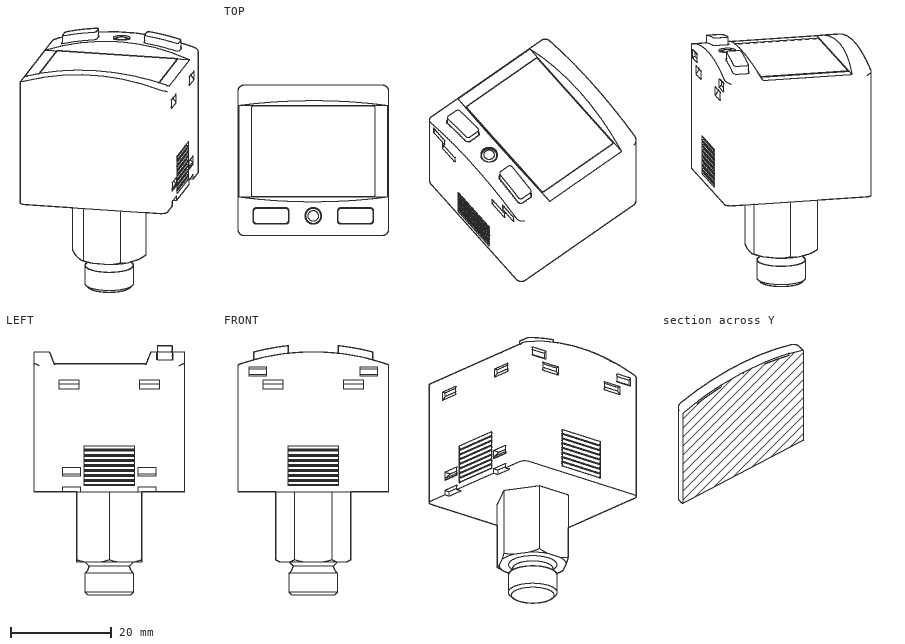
import cadquery as cq
import math

width = 30.0
half = width / 2
total_height = 49.62
over = 1.0

thread_d = 9.73
thread_end_chamfer = 0.6
thread_top_z = 4.36
relief_shoulder_r = 4.75
relief_bend_r = 4.3
relief_bend_z = 4.98
neck_r = 4.0
neck_z = 5.75
hex_bottom_z = 6.55
hex_flats = 13.0
hex_corners = hex_flats / math.cos(math.pi / 6)
hex_undercut_r = neck_r + (hex_bottom_z - neck_z)
hex_chamfer_start_r = 6.7
hex_chamfer_angle = 30.0

housing_bottom_z = 20.5
corner_r = 1.3
dome_top_z = 48.38
dome_r = 45.0
dome_center_z = dome_top_z - dome_r
side_edge_r = 0.48

recess_floor_z = 45.9
recess_back_y = 10.9
recess_front_y = -7.3
recess_wall_run = 0.97
window_width = 24.6
window_back_y = 10.75
window_front_y = -7.2
window_height = 0.15
window_corner_r = 0.3

control_y = -11.05
button_length = 6.9
button_depth = 3.0
button_x = 8.4
button_corner_r = 0.55
button_gap = 0.15
button_gap_depth = 0.5
lamp_hole_d = 3.3
lamp_hole_depth = 0.4
lamp_hole_floor_z = dome_top_z - lamp_hole_depth
lamp_base_d = 3.0
lamp_top_d = 2.1
lamp_height = 0.3

latch_width = 4.0
latch_offset = 8.0
latch_top_z = 42.75
latch_bend_z = 41.97
latch_bottom_z = 41.0
latch_depth = 0.65

pocket_width = 3.5
pocket_offset = 11.05
pocket_top_z = 45.3
pocket_bottom_z = 43.55
pocket_bevel = 0.35
pocket_depth = 0.45

slot_width = 3.65
slot_offset = 7.5
slot_top_z = 25.35
slot_bend_z = 24.05
slot_bottom_z = 23.65
slot_lip_depth = 0.1
slot_depth = slot_lip_depth + slot_top_z - slot_bend_z
notch_height = 0.95
notch_depth = 1.1

grip_width = 10.0
grip_top_z = 29.6
grip_count = 8
grip_pitch = 1.0
groove_height = 0.8
groove_slope_height = 0.6
groove_depth = 0.4


def dome_height(x):
    """Height of the dome surface at x."""
    return dome_center_z + math.sqrt(dome_r ** 2 - x ** 2)


def make_connector():
    thread_r = thread_d / 2
    stem = (
        cq.Workplane("XZ")
        .polyline([
            (0, 0),
            (thread_r - thread_end_chamfer, 0),
            (thread_r, thread_end_chamfer),
            (thread_r, thread_top_z),
            (relief_shoulder_r, thread_top_z),
            (relief_bend_r, relief_bend_z),
            (neck_r, neck_z),
            (hex_undercut_r, hex_bottom_z),
            (0, hex_bottom_z),
        ])
        .close()
        .revolve(360, (0, 0, 0), (0, 1, 0))
    )
    hexagon = (
        cq.Workplane("XY", origin=(0, 0, hex_bottom_z))
        .polygon(6, hex_corners)
        .extrude(housing_bottom_z - hex_bottom_z)
    )
    chamfer_end_r = hex_corners
    chamfer_rise = (chamfer_end_r - hex_chamfer_start_r) * math.tan(math.radians(hex_chamfer_angle))
    envelope = (
        cq.Workplane("XZ")
        .polyline([
            (0, hex_bottom_z),
            (hex_chamfer_start_r, hex_bottom_z),
            (chamfer_end_r, hex_bottom_z + chamfer_rise),
            (chamfer_end_r, housing_bottom_z),
            (0, housing_bottom_z),
        ])
        .close()
        .revolve(360, (0, 0, 0), (0, 1, 0))
    )
    return stem.union(hexagon.intersect(envelope))


def make_housing():
    edge_z = dome_height(half)
    domed_block = (
        cq.Workplane("XZ", origin=(0, half, 0))
        .moveTo(-half, housing_bottom_z)
        .lineTo(half, housing_bottom_z)
        .lineTo(half, edge_z)
        .threePointArc((0, dome_top_z), (-half, edge_z))
        .close()
        .extrude(width)
        .edges("|Y and (not <Z)")
        .fillet(side_edge_r)
    )
    rounded_column = (
        cq.Workplane("XY", origin=(0, 0, housing_bottom_z))
        .rect(width, width)
        .extrude(total_height - housing_bottom_z)
        .edges("|Z")
        .fillet(corner_r)
    )
    return domed_block.intersect(rounded_column)


def make_display_recess():
    lean = recess_wall_run / (dome_top_z - recess_floor_z)
    cut_top_z = dome_top_z + over
    run = lean * (cut_top_z - recess_floor_z)
    return (
        cq.Workplane("YZ", origin=(-half - over, 0, 0))
        .polyline([
            (recess_front_y, recess_floor_z),
            (recess_back_y, recess_floor_z),
            (recess_back_y + run, cut_top_z),
            (recess_front_y - run, cut_top_z),
        ])
        .close()
        .extrude(width + 2 * over)
    )


def make_window():
    center_y = (window_back_y + window_front_y) / 2
    return (
        cq.Workplane("XY", origin=(0, center_y, recess_floor_z - over))
        .rect(window_width, window_back_y - window_front_y)
        .extrude(over + window_height)
        .edges("|Z")
        .fillet(window_corner_r)
    )


def make_button_column(center_x, margin=0.0):
    """Tall rounded rectangular column with a button outline grown by a margin."""
    return (
        cq.Workplane("XY", origin=(center_x, control_y, recess_floor_z - over))
        .rect(button_length + 2 * margin, button_depth + 2 * margin)
        .extrude(total_height)
        .edges("|Z")
        .fillet(button_corner_r + margin)
    )


def make_dome_cylinder(offset):
    """Cylinder along Y whose crown lies a radial offset above the dome."""
    return (
        cq.Workplane("XZ", origin=(0, half, dome_center_z))
        .circle(dome_r + offset)
        .extrude(width)
    )


def make_button(center_x):
    inner_x = abs(center_x) - button_length / 2
    rise = math.hypot(inner_x, total_height - dome_center_z) - dome_r
    return make_button_column(center_x).intersect(make_dome_cylinder(rise))


def make_button_opening(center_x):
    floor = make_dome_cylinder(-button_gap_depth)
    return make_button_column(center_x, button_gap).cut(floor)


def make_lamp_hole():
    return (
        cq.Workplane("XY", origin=(0, control_y, lamp_hole_floor_z))
        .circle(lamp_hole_d / 2)
        .extrude(over)
    )


def make_lamp():
    base_z = lamp_hole_floor_z - over
    root = (
        cq.Workplane("XY", origin=(0, control_y, base_z))
        .circle(lamp_base_d / 2)
        .extrude(over)
    )
    cone = (
        cq.Workplane("XY", origin=(0, control_y, lamp_hole_floor_z))
        .circle(lamp_base_d / 2)
        .workplane(offset=lamp_height)
        .circle(lamp_top_d / 2)
        .loft()
    )
    return root.union(cone)


def make_wall_cut(section, center, length):
    """Front wall cutter: (depth, z) section closed outside the wall, swept along X."""
    first_z = section[0][1]
    last_z = section[-1][1]
    points = [(-half + depth, z) for depth, z in section]
    points += [(-half - over, last_z), (-half - over, first_z)]
    return (
        cq.Workplane("YZ", origin=(center - length / 2, 0, 0))
        .polyline(points)
        .close()
        .extrude(length)
    )


def make_wall_cut_pair(section, offset, length):
    left = make_wall_cut(section, -offset, length)
    right = make_wall_cut(section, offset, length)
    return left.union(right)


def to_left_wall(cutter):
    return cutter.rotate((0, 0, 0), (0, 0, 1), -90)


def make_latch_windows():
    section = [
        (0, latch_top_z),
        (latch_depth, latch_top_z),
        (latch_depth, latch_bend_z),
        (0, latch_bottom_z),
    ]
    return make_wall_cut_pair(section, latch_offset, latch_width)


def make_corner_pockets():
    section = [
        (0, pocket_top_z),
        (pocket_depth, pocket_top_z - pocket_bevel),
        (pocket_depth, pocket_bottom_z + pocket_bevel),
        (0, pocket_bottom_z),
    ]
    return make_wall_cut_pair(section, pocket_offset, pocket_width)


def make_lower_slots():
    section = [
        (0, slot_top_z),
        (slot_depth, slot_top_z),
        (slot_lip_depth, slot_bend_z),
        (slot_lip_depth, slot_bottom_z),
        (0, slot_bottom_z),
    ]
    return make_wall_cut_pair(section, slot_offset, slot_width)


def make_bottom_notches():
    notch_top_z = housing_bottom_z + notch_height
    section = [
        (0, notch_top_z),
        (notch_depth, notch_top_z),
        (notch_depth, housing_bottom_z - over),
        (0, housing_bottom_z - over),
    ]
    return make_wall_cut_pair(section, slot_offset, slot_width)


def make_grip_grooves():
    grooves = cq.Workplane("XY")
    for index in range(grip_count):
        top_z = grip_top_z - index * grip_pitch
        section = [
            (0, top_z),
            (groove_depth, top_z - groove_slope_height),
            (groove_depth, top_z - groove_height),
            (0, top_z - groove_height),
        ]
        grooves = grooves.add(make_wall_cut(section, 0, grip_width))
    return grooves.combine()


housing = make_housing().cut(make_display_recess())
for wall_cut in (make_latch_windows(), make_grip_grooves()):
    housing = housing.cut(wall_cut).cut(to_left_wall(wall_cut))
housing = housing.cut(make_corner_pockets())
housing = housing.cut(to_left_wall(make_lower_slots()))
housing = housing.cut(to_left_wall(make_bottom_notches()))
housing = housing.cut(make_lamp_hole())

result = housing.union(make_window()).union(make_lamp())
for center_x in (-button_x, button_x):
    result = result.cut(make_button_opening(center_x)).union(make_button(center_x))
result = result.union(make_connector())